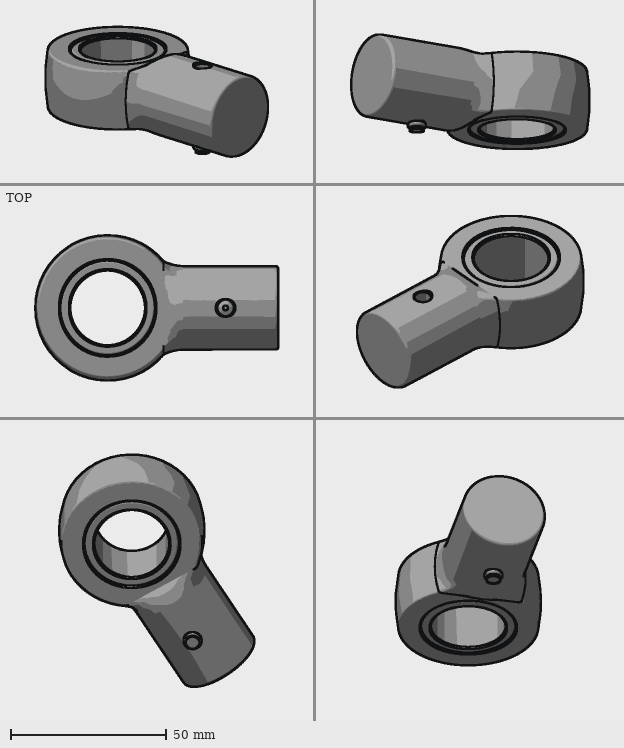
import cadquery as cq
import math

overall_length = 78.4

head_radius = 23.45
head_edge_radius = 22.65
face_radius = 21.8
head_thickness = 20.0
half_height = head_thickness / 2
edge_drop = 0.7
edge_z = half_height - edge_drop
edge_bulge = 0.7

ring_radius = 15.2
ring_rounding = 0.8
bore_radius = 12.0
bore_chamfer = 0.55
seat_chamfer = 0.55

shank_radius = 13.5
shank_end = overall_length - head_radius
shank_end_rounding = 1.0
neck_start = 18.0
neck_end = 24.4
neck_steps = 4

nipple_x = 37.95
nipple_hole_radius = 2.7
nipple_hole_chamfer = 0.55
nipple_head_radius = 3.0
nipple_lip_radius = 2.3
nipple_neck_radius = 2.2
nipple_bulge_height = 1.6
nipple_lip_height = 0.2
nipple_height = 2.5
nipple_tip_radius = 0.8
nipple_cone_height = 0.95
nipple_depth = 6.3


def rounded_edge_middle(inner, outer):
    """Middle of the rounded edge from the flat face at `inner` to the side at `outer`, as (width, z)."""
    return inner + edge_bulge * (outer - inner), edge_z + edge_bulge * edge_drop


def make_head():
    """Barrel-shaped eye, cut flat where the neck begins."""
    middle = rounded_edge_middle(face_radius, head_edge_radius)
    head = (
        cq.Workplane("XZ")
        .moveTo(0, -half_height)
        .lineTo(face_radius, -half_height)
        .threePointArc((middle[0], -middle[1]), (head_edge_radius, -edge_z))
        .threePointArc((head_radius, 0), (head_edge_radius, edge_z))
        .threePointArc(middle, (face_radius, half_height))
        .lineTo(0, half_height)
        .close()
        .revolve(360, (0, 0, 0), (0, 1, 0))
    )
    beyond_neck = cq.Workplane("XY").box(
        head_radius, 2 * head_radius, 2 * head_radius, centered=(False, True, True)
    )
    return head.cut(beyond_neck.translate((neck_start, 0, 0)))


def head_half_width(radius):
    """Half width of a head circle of the given radius at the start of the neck."""
    return math.sqrt(radius**2 - neck_start**2)


def shank_half_width(z):
    """Half width of the round shank at height z."""
    return math.sqrt(shank_radius**2 - z**2)


def across_face(outline, end_y, end_z, crest_z):
    """Continue a neck outline across its upper or lower side: straight at the eye, arched elsewhere."""
    if crest_z == end_z:
        return outline.lineTo(end_y, end_z)
    return outline.threePointArc((0, crest_z), (end_y, end_z))


def neck_section(fraction):
    """Neck outline between the eye (fraction 0) and the round shank (fraction 1)."""
    blend = 1 - (1 - fraction) ** 2

    def mix(at_head, at_shank):
        return at_head + blend * (at_shank - at_head)

    middle_radius, middle_z = rounded_edge_middle(face_radius, head_edge_radius)
    top_z = mix(half_height, shank_radius)
    face_y = mix(head_half_width(face_radius), shank_half_width(half_height))
    middle_y = mix(head_half_width(middle_radius), shank_half_width(middle_z))
    edge_y = mix(head_half_width(head_edge_radius), shank_half_width(edge_z))
    side_y = mix(head_half_width(head_radius), shank_radius)

    x = neck_start + fraction * (neck_end - neck_start)
    outline = cq.Workplane("YZ", origin=(x, 0, 0)).moveTo(-face_y, half_height)
    outline = across_face(outline, face_y, half_height, top_z)
    outline = (
        outline.threePointArc((middle_y, middle_z), (edge_y, edge_z))
        .threePointArc((side_y, 0), (edge_y, -edge_z))
        .threePointArc((middle_y, -middle_z), (face_y, -half_height))
    )
    outline = across_face(outline, -face_y, -half_height, -top_z)
    outline = (
        outline.threePointArc((-middle_y, -middle_z), (-edge_y, -edge_z))
        .threePointArc((-side_y, 0), (-edge_y, edge_z))
        .threePointArc((-middle_y, middle_z), (-face_y, half_height))
        .close()
    )
    return outline.val()


def make_neck():
    """Smooth transition from the eye to the round shank."""
    sections = [neck_section(step / neck_steps) for step in range(neck_steps + 1)]
    return cq.Workplane(cq.Solid.makeLoft(sections))


def make_shank():
    """Round shank with a rounded free end."""
    return (
        cq.Workplane("YZ", origin=(neck_end, 0, 0))
        .circle(shank_radius)
        .extrude(shank_end - neck_end)
        .faces(">X")
        .edges()
        .fillet(shank_end_rounding)
    )


def make_ring_seat():
    """Through hole for the bearing ring, chamfered at both faces."""
    mouth_radius = ring_radius + seat_chamfer
    chamfer_z = half_height - seat_chamfer
    return (
        cq.Workplane("XZ")
        .polyline([
            (0, -half_height),
            (mouth_radius, -half_height),
            (ring_radius, -chamfer_z),
            (ring_radius, chamfer_z),
            (mouth_radius, half_height),
            (0, half_height),
        ])
        .close()
        .revolve(360, (0, 0, 0), (0, 1, 0))
    )


def make_nipple_hole():
    """Hole across the shank, countersunk at its upper mouth."""
    mouth_radius = nipple_hole_radius + nipple_hole_chamfer
    return (
        cq.Workplane("XZ", origin=(nipple_x, 0, 0))
        .polyline([
            (0, -shank_radius),
            (nipple_hole_radius, -shank_radius),
            (nipple_hole_radius, shank_radius - nipple_hole_chamfer),
            (mouth_radius, shank_radius),
            (0, shank_radius),
        ])
        .close()
        .revolve(360, (0, 0, 0), (0, 1, 0))
    )


def make_housing():
    """Eye, neck and shank in one piece, with the ring seat and the nipple hole."""
    housing = make_head().union(make_neck()).union(make_shank())
    return housing.cut(make_ring_seat()).cut(make_nipple_hole()).solids()


def make_ring():
    """Bearing ring, flush with both faces of the head."""
    ring = (
        cq.Workplane("XY", origin=(0, 0, -half_height))
        .circle(ring_radius)
        .circle(bore_radius)
        .extrude(head_thickness)
    )
    ring = ring.edges(cq.selectors.RadiusNthSelector(0)).chamfer(bore_chamfer)
    return ring.edges(cq.selectors.RadiusNthSelector(-1)).fillet(ring_rounding)


def make_nipple():
    """Grease nipple: conical inner end, plain body, bulged head and a small lip."""
    head_top = -shank_radius
    body_top = head_top + nipple_depth
    bulge_bottom = head_top - nipple_bulge_height
    nipple_bottom = head_top - nipple_height
    return (
        cq.Workplane("XZ", origin=(nipple_x, 0, 0))
        .moveTo(0, nipple_bottom)
        .lineTo(nipple_lip_radius, nipple_bottom)
        .lineTo(nipple_neck_radius, nipple_bottom + nipple_lip_height)
        .lineTo(nipple_neck_radius, bulge_bottom)
        .threePointArc((nipple_head_radius, (head_top + bulge_bottom) / 2), (nipple_hole_radius, head_top))
        .lineTo(nipple_hole_radius, body_top)
        .lineTo(nipple_tip_radius, body_top + nipple_cone_height)
        .lineTo(0, body_top + nipple_cone_height)
        .close()
        .revolve(360, (0, 0, 0), (0, 1, 0))
    )


housing = make_housing()
ring = make_ring()
nipple = make_nipple()

result = cq.Compound.makeCompound([housing.val(), ring.val(), nipple.val()])